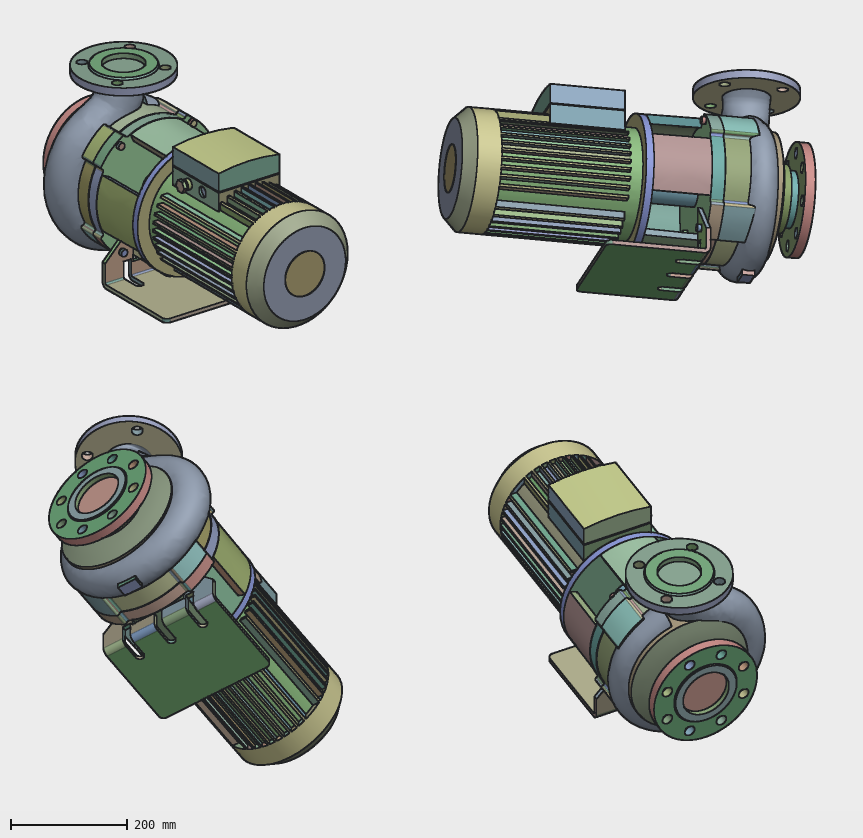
import cadquery as cq
import math


SUCTION_FACE_X = -100.0
SUCTION_RAISED_HEIGHT = 2.0
SUCTION_FLANGE_X = SUCTION_FACE_X + SUCTION_RAISED_HEIGHT
SUCTION_FLANGE_THICKNESS = 18.0
SUCTION_FLANGE_DIA = 200.0
SUCTION_BOLT_CIRCLE_DIA = 160.0
SUCTION_HOLE_COUNT = 8
SUCTION_BORE_DIA = 88.9
SUCTION_NECK_DIA = 99.9
SUCTION_COLLAR_DIA = 119.9
COLLAR_X = -65.5

DISCHARGE_FACE_Z = 200.0
DISCHARGE_RAISED_HEIGHT = 4.0
DISCHARGE_FLANGE_THICKNESS = 15.0
DISCHARGE_FLANGE_DIA = 185.0
DISCHARGE_BOLT_CIRCLE_DIA = 145.0
DISCHARGE_HOLE_COUNT = 4
DISCHARGE_BORE_DIA = 76.1

FLANGE_HOLE_DIA = 19.0
RAISED_TOP_DIA = 118.0
RAISED_BASE_DIA = 122.0
BORE_DEPTH = 10.0

COVER_X = -50.0
COVER_EDGE_X = -38.0
COVER_EDGE_RADIUS = 113.0
COVER_MID_X = -45.8
COVER_MID_RADIUS = 89.0
CASING_RIM_X = 5.0
CASING_BACK_X = 68.0
CASING_RIM_RADIUS = 124.5
VOLUTE_TUBE_START_RADIUS = 29.0
VOLUTE_TUBE_GROWTH = 4.0
VOLUTE_CENTRE_START_RADIUS = 103.2
VOLUTE_CENTRE_GROWTH = 10.9
TONGUE_OFFSET = 7.0
VOLUTE_START_ANGLE = 15.0
VOLUTE_STEP_ANGLE = 51.0
VOLUTE_END_ANGLE = 270.0
THROAT_ARC_RADIUS = 111.0
BEND_STEPS = 3
DISCHARGE_TUBE_RADIUS = 42.0
DRAIN_PAD_LENGTH = 22.0
DRAIN_PAD_WIDTH = 36.0
DRAIN_PAD_Y = -3.0
DRAIN_PAD_BOTTOM_Z = -153.5

LUG_RADIUS = 134.5
LUG_HALF_ANGLE = 15.5
LUG_FILLET = 4.0
LUG_ANGLES = (45.0, 135.0, 225.0, 315.0)

BRACKET_PLATE_END_X = 91.5
BRACKET_PLATE_RADIUS = 126.0
ARM_START_RADIUS = 125.0
ARM_THICKNESS = 16.0
ARM_HALF_WIDTH = 53.0
ARM_HALF_ANGLE = math.degrees(math.asin(ARM_HALF_WIDTH / ARM_START_RADIUS))

MOTOR_FLANGE_X = 194.0
MOTOR_FLANGE_THICKNESS = 13.5
MOTOR_FLANGE_RADIUS = 247.0 / 2
MOTOR_CORE_RADIUS = 197.0 / 2
MOTOR_OUTER_RADIUS = 217.0 / 2
FIN_START_X = 231.0
FIN_END_X = 459.5
FIN_THICKNESS = 4.0
FIN_PITCH = 15.0
FINS_EACH_SIDE_OF_CENTRE = 4
COWL_CHAMFER_X = 502.5
COWL_END_X = 524.5
COWL_END_RADIUS = 87.5
END_DISC_X = 525.5
END_DISC_RADIUS = 42.0
SHAFT_RADIUS = 28.5

BOX_LENGTH = 132.5
BOX_HALF_WIDTH = 65.0
BOX_BOTTOM_Z = 74.0
BOX_EDGE_Z = 147.0
BOX_CROWN_Z = 153.0
LID_Z = 110.0
LID_GROOVE_WIDTH = 1.5
LID_GROOVE_DEPTH = 1.0
GLAND_X = 276.5
PORT_X = 316.5
GLAND_Z = 94.0
PORT_DIA = 20.0
PORT_DEPTH = 5.0
GLAND_COLLAR_LENGTH = 8.0
GLAND_NECK_DIA = 16.0
GLAND_NECK_LENGTH = 3.5
GLAND_HEX_ACROSS_CORNERS = 24.2
GLAND_HEX_LENGTH = 7.0

FOOT_THICKNESS = 8.0
FOOT_HALF_WIDTH = 113.0
FOOT_BOTTOM_Z = -160.0
FOOT_END_X = 275.0
FOOT_BEND_RADIUS = 11.0
FOOT_CORNER_RADIUS = 10.0
FOOT_ARM_CLEARANCE_Z = -125.0
FOOT_SLOT_WIDTH = 16.0
FOOT_SLOT_PITCH = 65.0
FOOT_SLOT_TOP_Z = -120.0
FOOT_SLOT_END_X = 141.0

BOLT_Y = 77.0
BOLT_Z = 100.0
BOLT_HEAD_DIA = 13.0
BOLT_HEAD_LENGTH = 7.5
BOLT_SHANK_DIA = 9.0
BOLT_DEPTH_IN_CASING = 20.0


def cylinder_x(x_start, x_end, radius, y=0.0, z=0.0):
    """Solid cylinder along X."""
    return cq.Workplane("YZ", origin=(x_start, y, z)).circle(radius).extrude(x_end - x_start)


def block(x_range, y_range, z_range):
    """Box between the given limits."""
    size = [high - low for low, high in (x_range, y_range, z_range)]
    corner = (x_range[0], y_range[0], z_range[0])
    return cq.Workplane("XY", origin=corner).box(*size, centered=False)


def radial_sector(x_start, x_end, half_angle):
    """Wedge from the shaft axis out past the lugs, centred on +Y."""
    reach = 2 * LUG_RADIUS
    spread = reach * math.tan(math.radians(half_angle))
    return (
        cq.Workplane("YZ", origin=(x_start, 0, 0))
        .polyline([(0, 0), (reach, -spread), (reach, spread)])
        .close()
        .extrude(x_end - x_start)
    )


def edge_near(x, radius, angle):
    """Selector for the edge whose middle lies at this place around the shaft axis."""
    y = radius * math.cos(math.radians(angle))
    z = radius * math.sin(math.radians(angle))
    margin = LUG_FILLET / 4
    low = (x - margin, y - margin, z - margin)
    high = (x + margin, y + margin, z + margin)
    return cq.selectors.BoxSelector(low, high)


def lug_ring(x_start, x_end, ring_radius):
    """Disc with four bolting lugs with rounded edges and filleted roots."""
    ring = cylinder_x(x_start, x_end, ring_radius)
    outer = cylinder_x(x_start, x_end, LUG_RADIUS)
    sector = radial_sector(x_start, x_end, LUG_HALF_ANGLE)
    for angle in LUG_ANGLES:
        ring = ring.union(outer.intersect(sector.rotate((0, 0, 0), (1, 0, 0), angle)))
    for angle in LUG_ANGLES:
        for side_angle in (angle - LUG_HALF_ANGLE, angle + LUG_HALF_ANGLE):
            for radius in (ring_radius, LUG_RADIUS):
                ring = ring.edges(edge_near((x_start + x_end) / 2, radius, side_angle)).fillet(LUG_FILLET)
    return ring


def suction_side():
    """Turned suction nozzle and domed front cover, up to the casing rim."""
    flange_back = SUCTION_FLANGE_X + SUCTION_FLANGE_THICKNESS
    return (
        cq.Workplane("XY")
        .moveTo(SUCTION_FACE_X, 0)
        .lineTo(SUCTION_FACE_X, RAISED_TOP_DIA / 2)
        .lineTo(SUCTION_FLANGE_X, RAISED_BASE_DIA / 2)
        .lineTo(SUCTION_FLANGE_X, SUCTION_FLANGE_DIA / 2)
        .lineTo(flange_back, SUCTION_FLANGE_DIA / 2)
        .lineTo(flange_back, SUCTION_NECK_DIA / 2)
        .lineTo(COLLAR_X, SUCTION_NECK_DIA / 2)
        .lineTo(COLLAR_X, SUCTION_COLLAR_DIA / 2)
        .lineTo(COVER_X, SUCTION_COLLAR_DIA / 2)
        .threePointArc((COVER_MID_X, COVER_MID_RADIUS), (COVER_EDGE_X, COVER_EDGE_RADIUS))
        .lineTo(CASING_RIM_X, COVER_EDGE_RADIUS)
        .lineTo(CASING_RIM_X, 0)
        .close()
        .revolve(360, (0, 0, 0), (1, 0, 0))
    )


def tube_section(y, z, heading, radius):
    """Circle across the tube; heading is the flow direction, in degrees from +Y towards +Z."""
    direction = (0, math.cos(math.radians(heading)), math.sin(math.radians(heading)))
    plane = cq.Plane(origin=(0, y, z), xDir=(1, 0, 0), normal=direction)
    return cq.Workplane(plane).circle(radius).wires().val()


def volute_and_neck():
    """Growing spiral tube that swings through an S-bend into the discharge flange."""
    sections = []
    neck_top_z = DISCHARGE_FACE_Z - DISCHARGE_RAISED_HEIGHT - DISCHARGE_FLANGE_THICKNESS

    step_count = round((VOLUTE_END_ANGLE - VOLUTE_START_ANGLE) / VOLUTE_STEP_ANGLE)
    for step in range(step_count + 1):
        angle = VOLUTE_START_ANGLE + step * VOLUTE_STEP_ANGLE
        growing_quarters = max(0, angle / 90 - 1)
        tongue_share = max(0, 1 - angle / 90)
        centre = VOLUTE_CENTRE_START_RADIUS + VOLUTE_CENTRE_GROWTH * growing_quarters
        centre += TONGUE_OFFSET * tongue_share
        tube = VOLUTE_TUBE_START_RADIUS + VOLUTE_TUBE_GROWTH * growing_quarters
        turn = math.radians(angle)
        sections.append(tube_section(centre * math.sin(turn), centre * math.cos(turn), -angle, tube))

    throat_centre_y = THROAT_ARC_RADIUS - centre
    neck_radius = (neck_top_z**2 + throat_centre_y**2 - THROAT_ARC_RADIUS**2) / (
        2 * (THROAT_ARC_RADIUS - throat_centre_y)
    )
    join_heading = math.degrees(math.atan2(neck_radius + throat_centre_y, neck_top_z))
    bend_parts = [step / BEND_STEPS for step in range(1, BEND_STEPS + 1)]
    throat_headings = [90 - (90 - join_heading) * part for part in bend_parts]
    neck_headings = [join_heading + (90 - join_heading) * part for part in bend_parts]
    tube_step = (DISCHARGE_TUBE_RADIUS - tube) / (2 * BEND_STEPS)
    for heading in throat_headings:
        tube += tube_step
        bend = math.radians(heading)
        y = throat_centre_y - THROAT_ARC_RADIUS * math.sin(bend)
        sections.append(tube_section(y, THROAT_ARC_RADIUS * math.cos(bend), heading, tube))
    for heading in neck_headings:
        tube += tube_step
        bend = math.radians(heading)
        y = neck_radius * (math.sin(bend) - 1)
        sections.append(tube_section(y, neck_top_z - neck_radius * math.cos(bend), heading, tube))
    return cq.Workplane(cq.Solid.makeLoft(sections))


def discharge_flange():
    """Flange with a slightly tapered raised face on top of the neck."""
    flange_top = DISCHARGE_FACE_Z - DISCHARGE_RAISED_HEIGHT
    flange = (
        cq.Workplane("XY", origin=(0, 0, flange_top))
        .circle(DISCHARGE_FLANGE_DIA / 2)
        .extrude(-DISCHARGE_FLANGE_THICKNESS)
    )
    raised_face = cq.Solid.makeCone(
        RAISED_BASE_DIA / 2, RAISED_TOP_DIA / 2, DISCHARGE_RAISED_HEIGHT, cq.Vector(0, 0, flange_top)
    )
    return flange.union(cq.Workplane(raised_face))


def suction_openings():
    """Bolt holes and bore recess of the suction flange."""
    holes = (
        cq.Workplane("YZ", origin=(SUCTION_FLANGE_X, 0, 0))
        .polarArray(SUCTION_BOLT_CIRCLE_DIA / 2, 180 / SUCTION_HOLE_COUNT, 360, SUCTION_HOLE_COUNT)
        .circle(FLANGE_HOLE_DIA / 2)
        .extrude(SUCTION_FLANGE_THICKNESS)
    )
    bore = cylinder_x(SUCTION_FACE_X, SUCTION_FACE_X + BORE_DEPTH, SUCTION_BORE_DIA / 2)
    return holes.union(bore)


def discharge_openings():
    """Bolt holes and bore recess of the discharge flange."""
    holes = (
        cq.Workplane("XY", origin=(0, 0, DISCHARGE_FACE_Z - DISCHARGE_RAISED_HEIGHT))
        .polarArray(DISCHARGE_BOLT_CIRCLE_DIA / 2, 180 / DISCHARGE_HOLE_COUNT, 360, DISCHARGE_HOLE_COUNT)
        .circle(FLANGE_HOLE_DIA / 2)
        .extrude(-DISCHARGE_FLANGE_THICKNESS)
    )
    bore = (
        cq.Workplane("XY", origin=(0, 0, DISCHARGE_FACE_Z))
        .circle(DISCHARGE_BORE_DIA / 2)
        .extrude(-BORE_DEPTH)
    )
    return holes.union(bore)


def drain_pad():
    """Rectangular pad under the volute."""
    return block(
        (-DRAIN_PAD_LENGTH / 2, DRAIN_PAD_LENGTH / 2),
        (DRAIN_PAD_Y - DRAIN_PAD_WIDTH / 2, DRAIN_PAD_Y + DRAIN_PAD_WIDTH / 2),
        (DRAIN_PAD_BOTTOM_Z, -VOLUTE_CENTRE_START_RADIUS),
    )


def make_casing():
    casing = suction_side().union(lug_ring(CASING_RIM_X, CASING_BACK_X, CASING_RIM_RADIUS))
    casing = casing.union(volute_and_neck())
    casing = casing.union(discharge_flange())
    casing = casing.union(drain_pad())
    casing = casing.cut(suction_openings())
    return casing.cut(discharge_openings())


def make_bracket():
    """Lugged plate carrying four tapered arms that reach the motor flange."""
    shell = (
        cq.Workplane("XY")
        .polyline(
            [
                (BRACKET_PLATE_END_X, ARM_START_RADIUS - ARM_THICKNESS),
                (BRACKET_PLATE_END_X, ARM_START_RADIUS),
                (MOTOR_FLANGE_X, MOTOR_FLANGE_RADIUS),
                (MOTOR_FLANGE_X, MOTOR_FLANGE_RADIUS - ARM_THICKNESS),
            ]
        )
        .close()
        .revolve(360, (0, 0, 0), (1, 0, 0))
    )
    window = radial_sector(BRACKET_PLATE_END_X, MOTOR_FLANGE_X, 45 - ARM_HALF_ANGLE)
    for angle in LUG_ANGLES:
        shell = shell.cut(window.rotate((0, 0, 0), (1, 0, 0), angle))
    return lug_ring(CASING_BACK_X, BRACKET_PLATE_END_X, BRACKET_PLATE_RADIUS).union(shell)


def cooling_fins():
    """Straight fins, upright above and below the core and level on both sides."""
    fin_space = cylinder_x(FIN_START_X, FIN_END_X, MOTOR_OUTER_RADIUS)
    fins = cylinder_x(FIN_START_X, FIN_END_X, MOTOR_CORE_RADIUS)
    reach = (-MOTOR_OUTER_RADIUS, MOTOR_OUTER_RADIUS)
    for index in range(-FINS_EACH_SIDE_OF_CENTRE, FINS_EACH_SIDE_OF_CENTRE + 1):
        middle = index * FIN_PITCH
        thickness = (middle - FIN_THICKNESS / 2, middle + FIN_THICKNESS / 2)
        fins = fins.union(block((FIN_START_X, FIN_END_X), thickness, reach))
        fins = fins.union(block((FIN_START_X, FIN_END_X), reach, thickness))
    return fins.intersect(fin_space)


def fan_cowl():
    """Smooth cowl with a tapered end and a thin end disc."""
    return (
        cq.Workplane("XY")
        .polyline(
            [
                (FIN_END_X, 0),
                (FIN_END_X, MOTOR_OUTER_RADIUS),
                (COWL_CHAMFER_X, MOTOR_OUTER_RADIUS),
                (COWL_END_X, COWL_END_RADIUS),
                (COWL_END_X, END_DISC_RADIUS),
                (END_DISC_X, END_DISC_RADIUS),
                (END_DISC_X, 0),
            ]
        )
        .close()
        .revolve(360, (0, 0, 0), (1, 0, 0))
    )


def make_motor(box_space):
    """Motor with shaft and flange; the fins stop where the terminal box sits."""
    flange_back = MOTOR_FLANGE_X + MOTOR_FLANGE_THICKNESS
    motor = cooling_fins().cut(box_space)
    motor = motor.union(cylinder_x(BRACKET_PLATE_END_X, MOTOR_FLANGE_X, SHAFT_RADIUS))
    motor = motor.union(cylinder_x(MOTOR_FLANGE_X, flange_back, MOTOR_FLANGE_RADIUS))
    motor = motor.union(cylinder_x(flange_back, FIN_END_X, MOTOR_CORE_RADIUS))
    return motor.union(fan_cowl())


def box_envelope():
    """Box with a shallow crowned lid."""
    return (
        cq.Workplane("YZ", origin=(FIN_START_X, 0, 0))
        .moveTo(-BOX_HALF_WIDTH, BOX_BOTTOM_Z)
        .lineTo(BOX_HALF_WIDTH, BOX_BOTTOM_Z)
        .lineTo(BOX_HALF_WIDTH, BOX_EDGE_Z)
        .threePointArc((0, BOX_CROWN_Z), (-BOX_HALF_WIDTH, BOX_EDGE_Z))
        .close()
        .extrude(BOX_LENGTH)
    )


def lid_groove():
    """Shallow groove around the box where the lid meets the base."""
    return (
        cq.Workplane("XY", origin=(FIN_START_X + BOX_LENGTH / 2, 0, LID_Z))
        .rect(BOX_LENGTH, 2 * BOX_HALF_WIDTH)
        .rect(BOX_LENGTH - 2 * LID_GROOVE_DEPTH, 2 * (BOX_HALF_WIDTH - LID_GROOVE_DEPTH))
        .extrude(LID_GROOVE_WIDTH)
    )


def cable_gland():
    """Round collar, neck and hexagonal cap on the -Y side of the box."""
    return (
        cq.Workplane("XZ", origin=(GLAND_X, -BOX_HALF_WIDTH, GLAND_Z))
        .circle(PORT_DIA / 2)
        .extrude(GLAND_COLLAR_LENGTH)
        .faces("<Y")
        .workplane()
        .circle(GLAND_NECK_DIA / 2)
        .extrude(GLAND_NECK_LENGTH)
        .faces("<Y")
        .workplane()
        .polygon(6, GLAND_HEX_ACROSS_CORNERS)
        .extrude(GLAND_HEX_LENGTH)
    )


def make_terminal_box():
    spare_port = (
        cq.Workplane("XZ", origin=(PORT_X, -BOX_HALF_WIDTH, GLAND_Z))
        .circle(PORT_DIA / 2)
        .extrude(-PORT_DEPTH)
    )
    saddle = cylinder_x(FIN_START_X, FIN_END_X, MOTOR_CORE_RADIUS)
    box = box_envelope().cut(saddle)
    box = box.cut(lid_groove())
    box = box.cut(spare_port)
    return box.union(cable_gland())


def foot_angle():
    """Bent plate: an upright against the bracket and a floor running under the motor."""
    inner_bend_radius = FOOT_BEND_RADIUS - FOOT_THICKNESS
    upright_back = BRACKET_PLATE_END_X + FOOT_THICKNESS
    floor_top = FOOT_BOTTOM_Z + FOOT_THICKNESS
    bend_x = BRACKET_PLATE_END_X + FOOT_BEND_RADIUS
    bend_z = FOOT_BOTTOM_Z + FOOT_BEND_RADIUS
    return (
        cq.Workplane("XZ", origin=(0, FOOT_HALF_WIDTH, 0))
        .moveTo(BRACKET_PLATE_END_X, -ARM_HALF_WIDTH)
        .lineTo(BRACKET_PLATE_END_X, bend_z)
        .radiusArc((bend_x, FOOT_BOTTOM_Z), -FOOT_BEND_RADIUS)
        .lineTo(FOOT_END_X, FOOT_BOTTOM_Z)
        .lineTo(FOOT_END_X, floor_top)
        .lineTo(bend_x, floor_top)
        .radiusArc((upright_back, floor_top + inner_bend_radius), inner_bend_radius)
        .lineTo(upright_back, -ARM_HALF_WIDTH)
        .close()
        .extrude(2 * FOOT_HALF_WIDTH)
        .edges("|Z and >X")
        .fillet(FOOT_CORNER_RADIUS)
    )


def foot_slot(y):
    """Slot that runs down the upright, through the bend and along the floor to a round end."""
    half = FOOT_SLOT_WIDTH / 2
    centre_x = FOOT_SLOT_END_X - half
    upright_limits = (BRACKET_PLATE_END_X, BRACKET_PLATE_END_X + FOOT_THICKNESS)
    upright = block(upright_limits, (y - half, y + half), (FOOT_BOTTOM_Z, FOOT_SLOT_TOP_Z))
    floor_limits = (FOOT_BOTTOM_Z, FOOT_BOTTOM_Z + FOOT_BEND_RADIUS)
    floor = block((BRACKET_PLATE_END_X, centre_x), (y - half, y + half), floor_limits)
    round_end = (
        cq.Workplane("XY", origin=(centre_x, y, FOOT_BOTTOM_Z)).circle(half).extrude(FOOT_BEND_RADIUS)
    )
    return upright.union(floor).union(round_end)


def make_foot():
    """Foot whose upright forms two ears, cut back along the 45 degree diagonals."""
    wedge = (
        cq.Workplane("YZ", origin=(BRACKET_PLATE_END_X, 0, 0))
        .polyline([(0, 0), (FOOT_HALF_WIDTH, -FOOT_HALF_WIDTH), (FOOT_HALF_WIDTH, 0)])
        .close()
        .extrude(FOOT_THICKNESS)
    )
    arm_clearance = block(
        (BRACKET_PLATE_END_X, MOTOR_FLANGE_X),
        (-ARM_HALF_WIDTH, ARM_HALF_WIDTH),
        (FOOT_ARM_CLEARANCE_Z, 0),
    )
    foot = foot_angle().cut(wedge).cut(wedge.mirror("XZ")).cut(arm_clearance)
    for y in (-FOOT_SLOT_PITCH, 0, FOOT_SLOT_PITCH):
        foot = foot.cut(foot_slot(y))
    return foot


BOLT_PLACES = [(y, z) for y in (-BOLT_Y, BOLT_Y) for z in (-BOLT_Z, BOLT_Z)]
BOLT_TIP_X = CASING_BACK_X - BOLT_DEPTH_IN_CASING


def bolt_seat_x(z):
    """The lower bolts seat on the foot, the upper ones straight on the bracket."""
    return BRACKET_PLATE_END_X + (FOOT_THICKNESS if z < 0 else 0)


def bolt_shank(y, z):
    return cylinder_x(BOLT_TIP_X, bolt_seat_x(z), BOLT_SHANK_DIA / 2, y, z)


def make_bolt(y, z):
    seat = bolt_seat_x(z)
    head = cylinder_x(seat, seat + BOLT_HEAD_LENGTH, BOLT_HEAD_DIA / 2, y, z)
    return head.union(bolt_shank(y, z))


casing = make_casing()
bracket = make_bracket()
foot = make_foot()
for place in BOLT_PLACES:
    bolt_hole = bolt_shank(*place)
    casing = casing.cut(bolt_hole)
    bracket = bracket.cut(bolt_hole)
    foot = foot.cut(bolt_hole)
motor = make_motor(box_envelope())
terminal_box = make_terminal_box()
bolts = [make_bolt(*place) for place in BOLT_PLACES]

bodies = [casing, bracket, foot, motor, terminal_box, *bolts]
result = cq.Compound.makeCompound([body.val() for body in bodies])